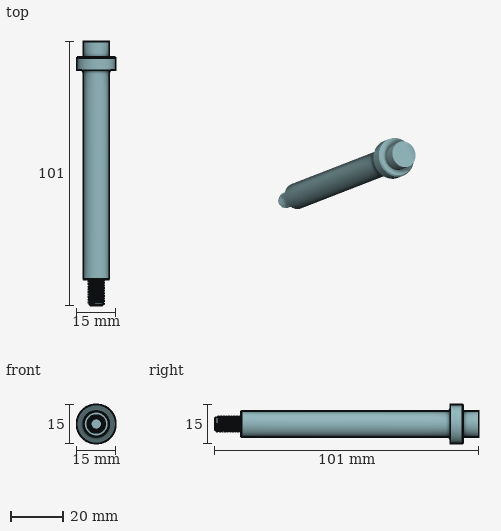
import cadquery as cq
import math

total_length = 101.0
head_length = 6.0
flange_thickness = 5.0
stud_length = 10.0

sleeve_radius = 5.0
flange_radius = 7.52
head_radius = sleeve_radius
crest_radius = 3.0
root_radius = 2.6
shank_radius = crest_radius
bore_radius = shank_radius

flange_chamfer = 0.5
flange_fillet = 1.0
sleeve_chamfer = 0.3
bore_countersink = 0.4
stud_chamfer = 0.5

thread_pitch = 1.0
thread_base_width = 0.6
thread_crest_width = 0.12
thread_embed = 0.1
thread_end_gap = 0.76

back_end = total_length / 2
front_end = -back_end
flange_back = back_end - head_length
flange_front = flange_back - flange_thickness
sleeve_front = front_end + stud_length
shank_front = sleeve_front + bore_countersink

AXIS_START = (0, 0, 0)
AXIS_END = (0, 1, 0)


def make_sleeve():
    """Tube with a flange at its back end and a bore countersunk at its front end."""
    fillet_mid = flange_fillet * (1 - math.sqrt(0.5))
    return (
        cq.Workplane("XY")
        .moveTo(bore_radius, flange_back)
        .lineTo(flange_radius - flange_chamfer, flange_back)
        .lineTo(flange_radius, flange_back - flange_chamfer)
        .lineTo(flange_radius, flange_front)
        .lineTo(sleeve_radius + flange_fillet, flange_front)
        .threePointArc(
            (sleeve_radius + fillet_mid, flange_front - fillet_mid),
            (sleeve_radius, flange_front - flange_fillet),
        )
        .lineTo(sleeve_radius, sleeve_front + sleeve_chamfer)
        .lineTo(sleeve_radius - sleeve_chamfer, sleeve_front)
        .lineTo(bore_radius + bore_countersink, sleeve_front)
        .lineTo(bore_radius, shank_front)
        .close()
        .revolve(360, AXIS_START, AXIS_END)
    )


def make_thread_ridge():
    """Right-handed helical ridge that runs along the stud into the end of the shank."""
    half_base = thread_base_width / 2
    half_crest = thread_crest_width / 2
    base_radius = root_radius - thread_embed
    ridge_start = front_end + thread_end_gap
    path = cq.Wire.makeHelix(thread_pitch, shank_front - ridge_start, base_radius)
    ridge_along_z = (
        cq.Workplane("XZ")
        .moveTo(base_radius, -half_base)
        .lineTo(crest_radius, -half_crest)
        .lineTo(crest_radius, half_crest)
        .lineTo(base_radius, half_base)
        .close()
        .sweep(cq.Workplane(path), isFrenet=True)
    )
    return ridge_along_z.rotate((0, 0, 0), (1, 0, 0), -90).translate((0, ridge_start, 0))


def make_screw():
    """Screw through the sleeve: head on the flange, plain shank, threaded stud in front."""
    blank = (
        cq.Workplane("XY")
        .moveTo(0, back_end)
        .lineTo(head_radius, back_end)
        .lineTo(head_radius, flange_back)
        .lineTo(shank_radius, flange_back)
        .lineTo(shank_radius, shank_front)
        .lineTo(root_radius, shank_front)
        .lineTo(root_radius, front_end + stud_chamfer)
        .lineTo(root_radius - stud_chamfer, front_end)
        .lineTo(0, front_end)
        .close()
        .revolve(360, AXIS_START, AXIS_END)
    )
    return blank.union(make_thread_ridge())


sleeve = make_sleeve()
screw = make_screw()

result = cq.Compound.makeCompound([sleeve.val(), screw.solids().val()])